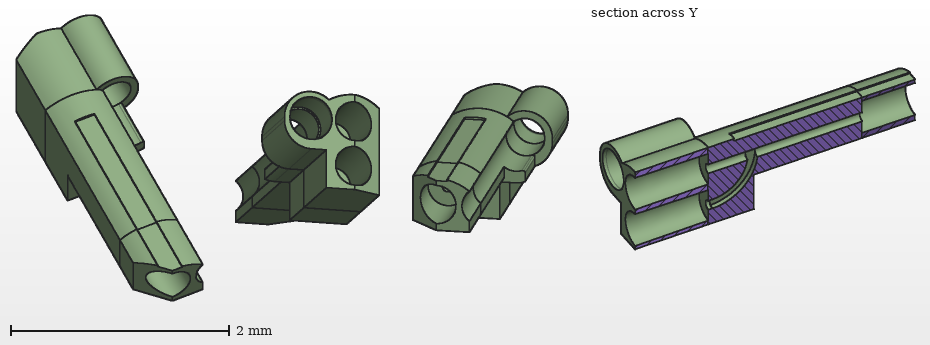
import cadquery as cq
import math

total_length = 2.93
front_end = 0.765
foot_end = 1.245
tip_start = 2.375
recess_start = 1.037

total_height = 0.9
foot_width = 0.542
arm_width = 0.58
arm_bottom = 0.398
dome_radius = 0.495
recess_width = 0.195
recess_floor = 0.875

channel_y = foot_width / 2
upper_z = 0.648
lower_z = 0.225
socket_diameter = 0.365
socket_floor_diameter = 0.35
bore_diameter = 0.1
lead_in = 0.045

tube_y = 0.69
tube_radius = total_height - upper_z
tube_bottom = 0.357
tube_bore_diameter = 0.365
cradle_diameter = 0.357
mouth_diameter = 0.4
mouth_depth = 0.035
sleeve_diameter = 0.398
sleeve_depth = front_end / 2
cradle_width = 0.775
cradle_lip_y = 0.74
cradle_edge_radius = 0.015

nose_bevel_length = 0.135
tip_bevel_length = channel_y


def block(x_start, x_end, y_start, y_end, z_start, z_end):
    """Box between the given limits."""
    return cq.Workplane("XY").box(
        x_end - x_start, y_end - y_start, z_end - z_start, centered=False
    ).translate((x_start, y_start, z_start))


def rod(x_start, x_end, y, z, diameter):
    """Round bar along X."""
    return (
        cq.Workplane("YZ", origin=(x_start, y, z))
        .circle(diameter / 2)
        .extrude(x_end - x_start)
    )


def taper(x_start, x_end, y, z, start_diameter, end_diameter):
    """Slightly conical bar along X."""
    return (
        cq.Workplane("YZ", origin=(x_start, y, z))
        .circle(start_diameter / 2)
        .workplane(offset=x_end - x_start)
        .circle(end_diameter / 2)
        .loft()
    )


def domed_bar(x_start, x_end, width, z_start):
    """Bar with upright sides and a crown centred over the channels."""
    crown = rod(x_start, x_end, channel_y, total_height - dome_radius, 2 * dome_radius)
    return block(x_start, x_end, 0, width, z_start, total_height).intersect(crown)


def corner_cut(bevel_length, x_end):
    """Upright wedge that bevels the -Y corner at x_end; a negative length reaches toward +X."""
    return (
        cq.Workplane("XY")
        .polyline([(x_end, 0), (x_end - bevel_length, 0), (x_end, channel_y)])
        .close()
        .extrude(total_height)
    )


def tube_outline(x_start, x_end):
    """Upright rounded bar around the side tube, joined to the block by a flat-bottomed web."""
    low_centre_z = tube_bottom + tube_radius
    top = rod(x_start, x_end, tube_y, upper_z, 2 * tube_radius)
    bottom = rod(x_start, x_end, tube_y, low_centre_z, 2 * tube_radius)
    side = block(x_start, x_end, tube_y, tube_y + tube_radius, low_centre_z, upper_z)
    web = block(x_start, x_end, channel_y, tube_y, tube_bottom, upper_z)
    return top.union(bottom).union(side).union(web)


def cut_tube_bore(body):
    """Flared mouth, a wide sleeve seat, then the narrower bore that leads to the cradle."""
    bore = taper(0, front_end, tube_y, upper_z, tube_bore_diameter, cradle_diameter)
    seat = rod(0, sleeve_depth, tube_y, upper_z, sleeve_diameter)
    mouth = taper(0, mouth_depth, tube_y, upper_z, mouth_diameter, sleeve_diameter)
    return body.cut(bore).cut(seat).cut(mouth)


def make_front():
    body = domed_bar(0, front_end, foot_width, 0).union(tube_outline(0, front_end))
    for z in (upper_z, lower_z):
        body = body.cut(taper(0, front_end, channel_y, z, socket_diameter, socket_floor_diameter))
    body = cut_tube_bore(body)
    return body.cut(corner_cut(-nose_bevel_length, 0))


def make_cradle():
    """Trough that carries on the lower part of the side tube."""
    rim_z = upper_z - math.sqrt((cradle_diameter / 2) ** 2 - (cradle_lip_y - tube_y) ** 2)
    limits = block(front_end, foot_end, channel_y, cradle_width, tube_bottom, upper_z)
    trough = tube_outline(front_end, foot_end).intersect(limits)
    trough = trough.cut(block(front_end, foot_end, tube_y, cradle_width, rim_z, upper_z))
    return trough.edges("|X").edges(
        cq.selectors.NearestToPointSelector((foot_end, cradle_width, rim_z))
    ).fillet(cradle_edge_radius)


def make_bent_bore():
    """Lower bore: a short round run, then a square quarter bend up into the upper bore."""
    bend_start = front_end + lead_in
    bend_radius = upper_z - lower_z
    bend = (
        cq.Workplane("XZ", origin=(bend_start, channel_y + bore_diameter / 2, upper_z))
        .circle(bend_radius + bore_diameter / 2)
        .circle(bend_radius - bore_diameter / 2)
        .extrude(bore_diameter)
    )
    quarter = block(bend_start, tip_start, 0, foot_width, 0, upper_z)
    return rod(front_end, bend_start, channel_y, lower_z, bore_diameter).union(bend.intersect(quarter))


def cut_side_groove(body):
    """Concave flank along the arm that leaves the axis of the side tube clear."""
    return body.cut(rod(front_end, total_length, tube_y, upper_z, cradle_diameter))


def cut_recess(body):
    """Shallow flat along the crown, open at the tip."""
    return body.cut(
        block(
            recess_start, total_length,
            channel_y - recess_width / 2, channel_y + recess_width / 2,
            recess_floor, total_height,
        )
    )


def make_middle():
    body = domed_bar(front_end, tip_start, arm_width, arm_bottom)
    body = body.union(block(front_end, foot_end, 0, foot_width, 0, arm_bottom))
    body = body.union(make_cradle())
    body = body.cut(rod(front_end, tip_start, channel_y, upper_z, bore_diameter))
    body = body.cut(make_bent_bore())
    return cut_recess(cut_side_groove(body))


def make_tip():
    body = domed_bar(tip_start, total_length, arm_width, arm_bottom)
    body = body.cut(rod(tip_start, total_length, channel_y, upper_z, socket_diameter))
    body = body.cut(corner_cut(tip_bevel_length, total_length))
    return cut_recess(cut_side_groove(body))


front = make_front()
middle = make_middle()
tip = make_tip()

result = cq.Compound.makeCompound([*front.solids().vals(), *middle.solids().vals(), *tip.solids().vals()])